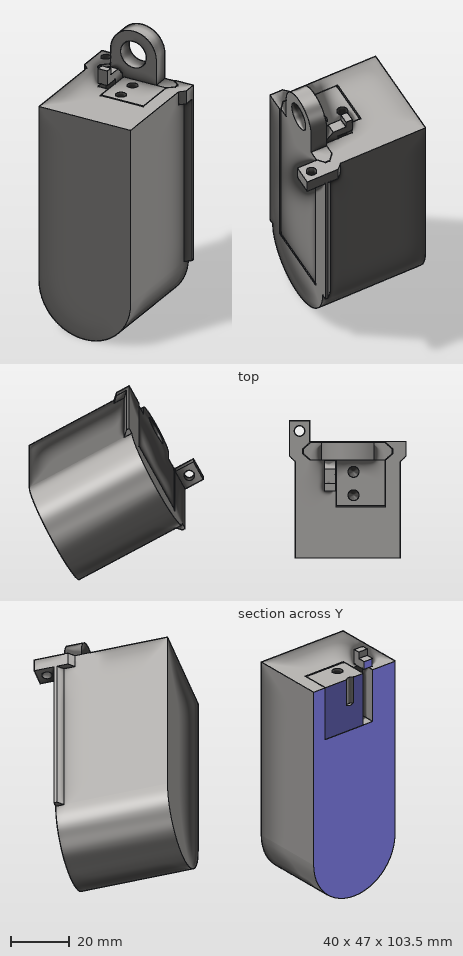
import cadquery as cq
import math


HOUSING_WIDTH = 36.0
HOUSING_DEPTH = 40.0
BOTTOM_RADIUS = HOUSING_WIDTH / 2
STRAIGHT_HEIGHT = 67.0
TOP_Z = BOTTOM_RADIUS + STRAIGHT_HEIGHT

RAIL_REACH = 2.0
RAIL_EDGE = 1.0
COLLAR_EDGE = 5.0
COLLAR_HEIGHT = 5.0

EAR_SIZE = 7.0
EAR_HOLE_DIAMETER = 3.5

SLIDE_FACE_WIDTH = 25.8
SLIDE_TIP_REACH = 2.5
SLIDE_THICKNESS = 6.0
SLIDE_TIP_WIDTH = 1.7
SLIDE_SIDE_GAP = 0.2
SLIDE_SETBACK = 0.4
SLIDE_BACK_Y = HOUSING_DEPTH - SLIDE_SETBACK
SLIDE_FRONT_Y = SLIDE_BACK_Y - SLIDE_THICKNESS
EYE_RADIUS = 9.0
EYE_HOLE_DIAMETER = 10.0
EYE_CENTER_Z = TOP_Z + 9.5
EYE_SHOULDER_RISE = 0.6
EYE_HALF_WIDTH = math.sqrt(EYE_RADIUS**2 - EYE_SHOULDER_RISE**2)

POCKET_LEFT_X = -3.9
BLOCK_FRONT_GAP = 0.5
BLOCK_SIDE_GAP = 0.1
BLOCK_LENGTH = 15.5
POCKET_DEPTH = 20.0
POCKET_RIGHT_X = SLIDE_FACE_WIDTH / 2
BLOCK_HOLE_DIAMETER = 3.7
BLOCK_HOLE_DEPTH = 10.0
BLOCK_HOLE_TIP_ANGLE = 118
BLOCK_HOLE_X = 2.0
BLOCK_HOLE_FIRST_Y = 21.5
BLOCK_HOLE_PITCH = 8.0
BLOCK_HOLE_COUNT = 2

LEVER_LEFT_X = -8.0
LEVER_WIDTH = 3.7
LEVER_FOOT_LENGTH = 4.9
LEVER_LENGTH = 10.6
LEVER_LEDGE_LENGTH = 0.2
LEVER_LEDGE_HEIGHT = 1.5
LEVER_RAMP_LENGTH = 2.9
LEVER_ARM_BOTTOM = 1.2
LEVER_ARM_TOP = 4.3
LEVER_TIP_TOP = 6.8
LEVER_TIP_LENGTH = 2.5


def rail_section(edge):
    """Strip across both sides with the given edge depth and 45 degree front flanks."""
    half = HOUSING_WIDTH / 2
    outer = half + RAIL_REACH
    edge_y = HOUSING_DEPTH - edge
    root_y = edge_y - RAIL_REACH
    return [
        (-half, root_y), (half, root_y), (outer, edge_y),
        (outer, HOUSING_DEPTH), (-outer, HOUSING_DEPTH), (-outer, edge_y),
    ]


def prism_below_top(points, height):
    """Upright prism whose upper face lies on the housing top."""
    return cq.Workplane("XY").workplane(offset=TOP_Z - height).polyline(points).close().extrude(height)


def box(x_min, x_max, y_min, y_max, height):
    """Upright box whose upper face lies on the housing top."""
    return prism_below_top([(x_min, y_min), (x_max, y_min), (x_max, y_max), (x_min, y_max)], height)


def hexagonal_plate(half):
    """Plate with pointed sides, as thick as the slide; half is half the width of its flat faces."""
    tip = half + SLIDE_TIP_REACH
    middle_y = (SLIDE_FRONT_Y + SLIDE_BACK_Y) / 2
    tip_front_y = middle_y - SLIDE_TIP_WIDTH / 2
    tip_back_y = middle_y + SLIDE_TIP_WIDTH / 2
    points = [
        (-half, SLIDE_FRONT_Y), (half, SLIDE_FRONT_Y), (tip, tip_front_y), (tip, tip_back_y),
        (half, SLIDE_BACK_Y), (-half, SLIDE_BACK_Y), (-tip, tip_back_y), (-tip, tip_front_y),
    ]
    return prism_below_top(points, STRAIGHT_HEIGHT)


def slide_channel():
    """Space for the plate, opened straight through the back of the housing."""
    half = SLIDE_FACE_WIDTH / 2
    mouth = box(-half, half, SLIDE_FRONT_Y, HOUSING_DEPTH, STRAIGHT_HEIGHT)
    return hexagonal_plate(half).union(mouth)


def make_housing():
    half = HOUSING_WIDTH / 2
    housing = (
        cq.Workplane("XZ")
        .moveTo(-half, TOP_Z)
        .lineTo(-half, BOTTOM_RADIUS)
        .threePointArc((0, 0), (half, BOTTOM_RADIUS))
        .lineTo(half, TOP_Z)
        .close()
        .extrude(-HOUSING_DEPTH)
    )
    housing = housing.union(prism_below_top(rail_section(RAIL_EDGE), STRAIGHT_HEIGHT))
    housing = housing.union(prism_below_top(rail_section(COLLAR_EDGE), COLLAR_HEIGHT))

    ear_left = -half - RAIL_REACH
    ear_back = HOUSING_DEPTH + EAR_SIZE
    ear = box(ear_left, ear_left + EAR_SIZE, HOUSING_DEPTH - COLLAR_EDGE, ear_back, COLLAR_HEIGHT)
    housing = housing.union(ear)
    ear_hole = (
        cq.Workplane("XY")
        .center(ear_left + EAR_SIZE / 2, ear_back - EAR_SIZE / 2)
        .circle(EAR_HOLE_DIAMETER / 2)
        .extrude(TOP_Z)
    )
    pocket = box(
        POCKET_LEFT_X, POCKET_RIGHT_X,
        SLIDE_FRONT_Y - BLOCK_LENGTH - BLOCK_FRONT_GAP, SLIDE_FRONT_Y, POCKET_DEPTH,
    )
    lever_slot = box(
        LEVER_LEFT_X, POCKET_LEFT_X,
        SLIDE_FRONT_Y - LEVER_LENGTH, SLIDE_FRONT_Y, POCKET_DEPTH,
    )
    return housing.cut(ear_hole).cut(slide_channel()).cut(pocket).cut(lever_slot)


def make_slide():
    shoulder_z = EYE_CENTER_Z + EYE_SHOULDER_RISE
    eye = (
        cq.Workplane("XZ", origin=(0, SLIDE_BACK_Y, 0))
        .moveTo(-EYE_HALF_WIDTH, TOP_Z)
        .lineTo(-EYE_HALF_WIDTH, shoulder_z)
        .threePointArc((0, EYE_CENTER_Z + EYE_RADIUS), (EYE_HALF_WIDTH, shoulder_z))
        .lineTo(EYE_HALF_WIDTH, TOP_Z)
        .close()
        .moveTo(0, EYE_CENTER_Z)
        .circle(EYE_HOLE_DIAMETER / 2)
        .extrude(SLIDE_THICKNESS)
    )
    return hexagonal_plate(SLIDE_FACE_WIDTH / 2 - SLIDE_SIDE_GAP).union(eye)


def drilled_hole(y):
    """Blind hole with a conical end."""
    radius = BLOCK_HOLE_DIAMETER / 2
    wall_end = -BLOCK_HOLE_DEPTH
    tip_end = wall_end - radius / math.tan(math.radians(BLOCK_HOLE_TIP_ANGLE / 2))
    return (
        cq.Workplane("XZ", origin=(BLOCK_HOLE_X, y, TOP_Z))
        .polyline([(0, 0), (radius, 0), (radius, wall_end), (0, tip_end)])
        .close()
        .revolve(360, (0, 0), (0, 1))
    )


def make_block():
    block = box(
        POCKET_LEFT_X + BLOCK_SIDE_GAP, POCKET_RIGHT_X - BLOCK_SIDE_GAP,
        SLIDE_FRONT_Y - BLOCK_LENGTH, SLIDE_FRONT_Y, POCKET_DEPTH,
    )
    for i in range(BLOCK_HOLE_COUNT):
        block = block.cut(drilled_hole(BLOCK_HOLE_FIRST_Y + i * BLOCK_HOLE_PITCH))
    return block


def make_lever():
    """Cranked profile in (Y, Z) measured from the slide face at the housing top, extruded along X."""
    ramp_end = LEVER_LEDGE_LENGTH + LEVER_RAMP_LENGTH
    tip_start = LEVER_LENGTH - LEVER_TIP_LENGTH
    profile = [
        (0, -POCKET_DEPTH),
        (-LEVER_FOOT_LENGTH, -POCKET_DEPTH),
        (-LEVER_FOOT_LENGTH, LEVER_ARM_BOTTOM),
        (-LEVER_LENGTH, LEVER_ARM_BOTTOM),
        (-LEVER_LENGTH, LEVER_TIP_TOP),
        (-tip_start, LEVER_TIP_TOP),
        (-tip_start, LEVER_ARM_TOP),
        (-ramp_end, LEVER_ARM_TOP),
        (-LEVER_LEDGE_LENGTH, LEVER_LEDGE_HEIGHT),
        (0, LEVER_LEDGE_HEIGHT),
    ]
    origin_plane = cq.Workplane("YZ", origin=(LEVER_LEFT_X, SLIDE_FRONT_Y, TOP_Z))
    return origin_plane.polyline(profile).close().extrude(LEVER_WIDTH)


housing = make_housing()
slide = make_slide()
block = make_block()
lever = make_lever()

result = cq.Compound.makeCompound([housing.val(), slide.val(), block.val(), lever.val()])